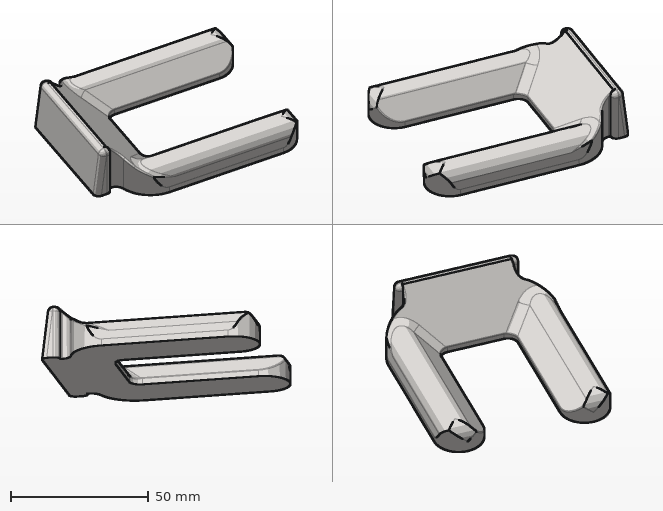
import cadquery as cq
import math

HALF_WIDTH = 34.0
LENGTH = 82.0
HEIGHT = 20.0
SOLE = 5.0
OVERHANG = 10.0
TOLERANCE = 1e-3

SLOT_HALF_WIDTH = 15.0
SLOT_END_Y = 25.0
SLOT_CORNER_RADIUS = 4.0
WALL_HEIGHT = 2.5
SLOPE = 0.9
ARM_TOP = 11.0
CROWN_RADIUS = 6.5
VALLEY_RADIUS = 5.0
RIM_RADIUS = 0.5
TIP_RADIUS = (HALF_WIDTH - SLOT_HALF_WIDTH) / 2

SHOULDER_RADIUS = 14.5
NECK_RADIUS = 4.0
NECK_HALF_WIDTH = 21.5

PLATE_HALF_WIDTH = 24.0
PLATE_BACK_Y = 6.8
PLATE_LEAN = 2.4
PLATE_RADIUS = 2.2

SLOPE_ANGLE = math.atan(SLOPE)
CROWN_Z = ARM_TOP - CROWN_RADIUS
CROWN_RISE = CROWN_Z - WALL_HEIGHT
CROWN_X = SLOT_HALF_WIDTH + (CROWN_RADIUS / math.cos(SLOPE_ANGLE) + CROWN_RISE) / SLOPE

WALL_DX = HALF_WIDTH - CROWN_X
OUTER_LEAN = math.acos(CROWN_RADIUS / math.hypot(WALL_DX, CROWN_RISE)) - math.atan2(CROWN_RISE, WALL_DX)


def make_outline():
    """Plan shape of the fork without its plate, as a prism of full height."""
    shoulder_x = HALF_WIDTH - SHOULDER_RADIUS
    neck_x = NECK_HALF_WIDTH + NECK_RADIUS
    reach = SHOULDER_RADIUS + NECK_RADIUS
    neck_y = SLOT_END_Y - math.sqrt(reach**2 - (neck_x - shoulder_x)**2)

    share = SHOULDER_RADIUS / reach
    joint = (
        shoulder_x + share * (neck_x - shoulder_x),
        SLOT_END_Y + share * (neck_y - SLOT_END_Y),
    )
    turn = math.atan2(SLOT_END_Y - joint[1], joint[0] - shoulder_x) / 2
    shoulder_mid = (
        shoulder_x + SHOULDER_RADIUS * math.cos(turn),
        SLOT_END_Y - SHOULDER_RADIUS * math.sin(turn),
    )
    neck_turn = math.atan2(joint[1] - neck_y, joint[0] - neck_x)
    neck_mid_turn = (neck_turn + math.pi) / 2
    neck_mid = (
        neck_x + NECK_RADIUS * math.cos(neck_mid_turn),
        neck_y + NECK_RADIUS * math.sin(neck_mid_turn),
    )
    tip_y = LENGTH - TIP_RADIUS
    tip_x = HALF_WIDTH - TIP_RADIUS
    half = (
        cq.Workplane("XY")
        .moveTo(0, PLATE_BACK_Y - PLATE_RADIUS)
        .lineTo(NECK_HALF_WIDTH, PLATE_BACK_Y - PLATE_RADIUS)
        .lineTo(NECK_HALF_WIDTH, neck_y)
        .threePointArc(neck_mid, joint)
        .threePointArc(shoulder_mid, (HALF_WIDTH, SLOT_END_Y))
        .lineTo(HALF_WIDTH, tip_y)
        .threePointArc((tip_x, LENGTH), (SLOT_HALF_WIDTH, tip_y))
        .lineTo(SLOT_HALF_WIDTH, SLOT_END_Y)
        .lineTo(0, SLOT_END_Y)
        .close()
        .extrude(HEIGHT)
    )
    slot_corner = cq.selectors.NearestToPointSelector((SLOT_HALF_WIDTH, SLOT_END_Y, HEIGHT / 2))
    half = half.edges("|Z").edges(slot_corner).fillet(SLOT_CORNER_RADIUS)
    return half.union(half.mirror("YZ"))


def make_arm_ridge():
    """Right-hand arm section, running the whole length and continued below the base."""
    inner_tangent = (
        CROWN_X - CROWN_RADIUS * math.sin(SLOPE_ANGLE),
        CROWN_Z + CROWN_RADIUS * math.cos(SLOPE_ANGLE),
    )
    outer_tangent = (
        CROWN_X + CROWN_RADIUS * math.cos(OUTER_LEAN),
        CROWN_Z + CROWN_RADIUS * math.sin(OUTER_LEAN),
    )
    inner_foot_x = SLOT_HALF_WIDTH - (WALL_HEIGHT + SOLE) / SLOPE
    outer_foot_x = HALF_WIDTH + (WALL_HEIGHT + SOLE) * math.tan(OUTER_LEAN)
    return (
        cq.Workplane("XZ")
        .moveTo(inner_foot_x, -SOLE)
        .lineTo(*inner_tangent)
        .threePointArc((CROWN_X, ARM_TOP), outer_tangent)
        .lineTo(outer_foot_x, -SOLE)
        .close()
        .extrude(-(LENGTH + OVERHANG))
    )


def make_ramp():
    """Wedge rising from the slot end towards the plate, wider than the finished part."""
    foot_y = SLOT_END_Y + (WALL_HEIGHT + SOLE) / SLOPE
    half_width = HALF_WIDTH + OVERHANG
    crest_z = foot_y * SLOPE - SOLE
    return (
        cq.Workplane("YZ")
        .polyline([(0, -SOLE), (foot_y, -SOLE), (0, crest_z)])
        .close()
        .extrude(half_width, both=True)
    )


def make_tip_envelope():
    """Length-wise block with the upper edge at the free ends of the arms rounded."""
    half_width = HALF_WIDTH + OVERHANG
    end_y = LENGTH - CROWN_RADIUS
    return (
        cq.Workplane("YZ")
        .moveTo(0, 0)
        .lineTo(LENGTH, 0)
        .lineTo(LENGTH, CROWN_Z)
        .radiusArc((end_y, ARM_TOP), -CROWN_RADIUS)
        .lineTo(SLOT_END_Y, ARM_TOP)
        .lineTo(SLOT_END_Y, HEIGHT)
        .lineTo(0, HEIGHT)
        .close()
        .extrude(half_width, both=True)
    )


def make_side_envelope():
    """Full-length block whose sides lean inwards above the outer wall, in line with the arms."""
    lean_x = HALF_WIDTH - (HEIGHT - WALL_HEIGHT) * math.tan(OUTER_LEAN)
    right_side = [(HALF_WIDTH, 0), (HALF_WIDTH, WALL_HEIGHT), (lean_x, HEIGHT)]
    left_side = [(-x, z) for x, z in reversed(right_side)]
    return cq.Workplane("XZ").polyline(right_side + left_side).close().extrude(-LENGTH)


def is_valley(edge):
    """True for the edges along which an arm ridge runs into the ramp."""
    ends = [edge.startPoint(), edge.endPoint()]
    on_ramp = all(
        abs(p.z - WALL_HEIGHT - SLOPE * (SLOT_END_Y - p.y)) < TOLERANCE for p in ends
    )
    inside = all(abs(p.x) < HALF_WIDTH + OVERHANG - TOLERANCE for p in ends)
    return on_ramp and inside and abs(ends[0].y - ends[1].y) > TOLERANCE


def is_soft_rim(edge, walls):
    """True for the upper edges of the slot walls and of the shoulder and neck walls."""
    middle = edge.positionAt(0.5)
    marker = cq.Vertex.makeVertex(*middle.toTuple())
    on_wall = min(wall.distance(marker) for wall in walls) < TOLERANCE
    beside_slot = abs(middle.x) < SLOT_HALF_WIDTH + TIP_RADIUS and middle.y > SLOT_END_Y - TOLERANCE
    on_shoulder = abs(middle.x) > NECK_HALF_WIDTH - TOLERANCE and middle.y < SLOT_END_Y - NECK_RADIUS
    return on_wall and middle.z > TOLERANCE and (beside_slot or on_shoulder)


def make_fork():
    """U-shaped fork: two arms blended into the ramp, trimmed to the plan outline."""
    ridge = make_arm_ridge()
    upper = make_ramp().union(ridge).union(ridge.mirror("YZ"))
    valleys = [edge for edge in upper.edges().vals() if is_valley(edge)]
    upper = upper.newObject(valleys).fillet(VALLEY_RADIUS)
    outline = make_outline()
    fork = outline.intersect(upper).intersect(make_tip_envelope()).intersect(make_side_envelope())
    walls = outline.faces("not |Z").vals()
    rim = [edge for edge in fork.edges("not |Z").vals() if is_soft_rim(edge, walls)]
    return fork.newObject(rim).fillet(RIM_RADIUS)


def make_plate():
    """Upright end plate with a leaning front face and rounded sides and top."""
    plate = (
        cq.Workplane("YZ")
        .polyline([(0, 0), (PLATE_BACK_Y, 0), (PLATE_BACK_Y, HEIGHT), (PLATE_LEAN, HEIGHT)])
        .close()
        .extrude(PLATE_HALF_WIDTH, both=True)
    )
    return plate.edges("not <Z").fillet(PLATE_RADIUS)


result = make_fork().union(make_plate())